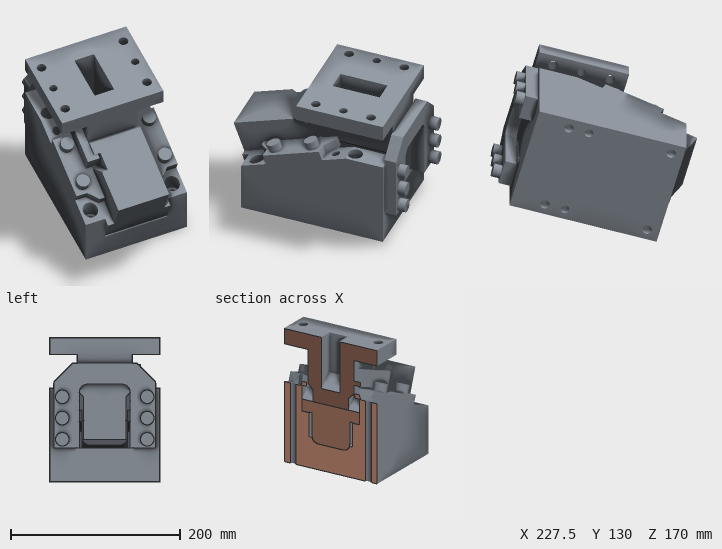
import cadquery as cq
import math

SLIDE_TILT = 20.0
CAM_ANGLE = 40.0
REACH = 682.5

BASE_LENGTH = 180.0
BASE_WIDTH = 130.0
BASE_HEIGHT = 110.0
CREASE_X = 46.9
POCKET_FLOOR_Z = 40.0
POCKET_END = 66.0
CHANNEL_WIDTH = 67.0

GIB_START = 20.2
GIB_LENGTH = 100.0
GIB_HEIGHT = 12.0
GIB_CHAMFER_LENGTH = 12.0
GIB_CHAMFER_WIDTH = 11.4
GIB_SCREW_SPACING = 50.0
SCREW_DIAMETER = 16.0
SCREW_HEAD = 10.0

HOLE_Y = 52.5
BORE_DIAMETER = 18.0
BOLT_HOLE_DIAMETER = 11.0
BORE_FLOOR_Z = 50.0
REAR_BOLT_X = 39.8
FRONT_BOLT_X = 165.0
DOWEL_X = 64.4
DOWEL_DIAMETER = 10.0

PLATE_THICKNESS = 15.0
PLATE_WIDTH = 120.0
PLATE_TOP_Z = 140.0
PLATE_CHAMFER = 22.0
OPENING_WIDTH = 60.0
OPENING_TOP_Z = 115.0
OPENING_RADIUS = 10.0
PLATE_RECESS = 1.0
PLATE_SCREW_Y = 50.0
PLATE_SCREW_ZS = (50.0, 75.0, 100.0)

SLIDE_END_X = 202.5
SLIDE_WIDTH = 65.0
SLIDE_HEIGHT = 40.0
FLANGE_WIDTH = 80.0
FLANGE_HEIGHT = 30.0
FLANGE_REAR_X = 66.5
RAIL_WIDTH = 54.0
RAIL_DEPTH = 34.8
RAIL_RADIUS = 10.0
RAIL_REAR = 17.3
RAIL_LENGTH = 91.0
CAM_TOP_X = 117.2
GROOVE_OFFSET = 13.2
GROOVE_WIDTH = 20.0
GROOVE_DEPTH = 7.5

DRIVER_LENGTH = 110.0
DRIVER_TOP_Z = 170.0
HEAD_THICKNESS = 20.0
STEM_WIDTH = 65.0
TONGUE_WIDTH = 50.0
TONGUE_TOP_Z = 100.0
TONGUE_BOTTOM_Z = 50.0
HEAD_HOLE_XS = (20.0, 90.0)
HEAD_HOLE_DIAMETER = 11.5
HEAD_DOWEL_X = 55.0
WINDOW_START_X = 25.0
WINDOW_LENGTH = 60.0
WINDOW_WIDTH = 25.0
WINDOW_FLAT_LENGTH = 37.0
WINDOW_FLOOR_Z = 100.0
KEY_START = 14.8
KEY_LENGTH = 65.0
KEY_HEIGHT = 20.0
KEY_LIFT = 15.0
KEY_OUTER_Y = 42.0
KEY_INNER_Y = 27.0

SIN_TILT = math.sin(math.radians(SLIDE_TILT))
COS_TILT = math.cos(math.radians(SLIDE_TILT))
TAN_TILT = math.tan(math.radians(SLIDE_TILT))
SIN_CAM = math.sin(math.radians(CAM_ANGLE))
COS_CAM = math.cos(math.radians(CAM_ANGLE))
TAN_CAM = math.tan(math.radians(CAM_ANGLE))

SLIDE_END = (SLIDE_END_X - CREASE_X - SLIDE_HEIGHT * SIN_TILT) / COS_TILT
SLIDE_TOP_Z_AT_CREASE = BASE_HEIGHT + SLIDE_HEIGHT / COS_TILT
CAM_TOP_Z = SLIDE_TOP_Z_AT_CREASE - (CAM_TOP_X - CREASE_X) * TAN_TILT
RAIL_END = RAIL_REAR + RAIL_LENGTH

SLOPE_SIDE = cq.Plane(origin=(CREASE_X, 0, BASE_HEIGHT), xDir=(COS_TILT, 0, -SIN_TILT), normal=(0, -1, 0))
SLOPE_TOP = cq.Plane(origin=(CREASE_X, 0, BASE_HEIGHT), xDir=(COS_TILT, 0, -SIN_TILT),
                     normal=(SIN_TILT, 0, COS_TILT))
CAM_SIDE = cq.Plane(origin=(CAM_TOP_X, 0, CAM_TOP_Z), xDir=(COS_CAM, 0, SIN_CAM), normal=(0, -1, 0))


def side_block(plane, start, end, bottom, top, width):
    """Block drawn as a rectangle on a side plane and centred on Y = 0."""
    corners = [(start, bottom), (end, bottom), (end, top), (start, top)]
    return cq.Workplane(plane).polyline(corners).close().extrude(width / 2, both=True)


def box_between(x_range, y_range, z_range):
    """Upright box between the given limits."""
    lengths = [high - low for low, high in (x_range, y_range, z_range)]
    corner = (x_range[0], y_range[0], z_range[0])
    return cq.Workplane("XY").box(*lengths, centered=False).translate(corner)


def rail():
    """Guide rail below the flanges, rounded along its two lower edges."""
    bar = side_block(SLOPE_SIDE, RAIL_REAR, RAIL_END, -FLANGE_HEIGHT - RAIL_DEPTH, -FLANGE_HEIGHT, RAIL_WIDTH)
    lower_face = cq.selectors.DirectionMinMaxSelector(SLOPE_SIDE.yDir, directionMax=False)
    along_rail = cq.selectors.ParallelDirSelector(SLOPE_SIDE.xDir)
    return bar.faces(lower_face).edges(along_rail).fillet(RAIL_RADIUS)


def base_block():
    """Block with a sloping top, the driver pocket and the stepped slide way."""
    block = box_between((0, BASE_LENGTH), (-BASE_WIDTH / 2, BASE_WIDTH / 2), (0, BASE_HEIGHT))
    block = block.cut(side_block(SLOPE_SIDE, 0, REACH, 0, REACH, BASE_WIDTH))
    flange_way = side_block(SLOPE_SIDE, -REACH, REACH, -FLANGE_HEIGHT, 0, FLANGE_WIDTH)
    pocket = side_block(SLOPE_SIDE, -REACH, POCKET_END, -REACH, 0, OPENING_WIDTH)
    pocket = pocket.intersect(side_block("XZ", 0, REACH, POCKET_FLOOR_Z, REACH, OPENING_WIDTH))
    return block.cut(flange_way).cut(pocket).cut(rail())


def gib():
    """Clamp strip on the +Y side with its two screw heads."""
    inner = CHANNEL_WIDTH / 2
    step = FLANGE_WIDTH / 2
    shoulder = step + GIB_CHAMFER_WIDTH
    outer = BASE_WIDTH / 2
    end = GIB_START + GIB_LENGTH
    strip = (cq.Workplane(SLOPE_TOP)
             .moveTo(GIB_START, inner).lineTo(end, inner).lineTo(end, step)
             .lineTo(end - GIB_CHAMFER_LENGTH, shoulder).lineTo(end - GIB_CHAMFER_LENGTH, outer)
             .lineTo(GIB_START + GIB_CHAMFER_LENGTH, outer).lineTo(GIB_START + GIB_CHAMFER_LENGTH, shoulder)
             .lineTo(GIB_START, step).close().extrude(GIB_HEIGHT))
    middle = GIB_START + GIB_LENGTH / 2
    screws = (cq.Workplane(SLOPE_TOP)
              .pushPoints([(middle + side * GIB_SCREW_SPACING / 2, HOLE_Y) for side in (-1, 1)])
              .circle(SCREW_DIAMETER / 2).extrude(GIB_HEIGHT + SCREW_HEAD))
    return strip.union(screws)


def cover_plate():
    """Chamfered plate with an arched opening, a driver recess and six screw heads."""
    half = PLATE_WIDTH / 2
    face = cq.Workplane("YZ").workplane(offset=-PLATE_THICKNESS)
    plate = (face.moveTo(-half, POCKET_FLOOR_Z).lineTo(half, POCKET_FLOOR_Z)
             .lineTo(half, PLATE_TOP_Z - PLATE_CHAMFER).lineTo(half - PLATE_CHAMFER, PLATE_TOP_Z)
             .lineTo(PLATE_CHAMFER - half, PLATE_TOP_Z).lineTo(-half, PLATE_TOP_Z - PLATE_CHAMFER)
             .close().extrude(PLATE_THICKNESS))
    opening = box_between((-PLATE_THICKNESS, 0), (-OPENING_WIDTH / 2, OPENING_WIDTH / 2),
                          (POCKET_FLOOR_Z, OPENING_TOP_Z)).edges("|X and >Z").fillet(OPENING_RADIUS)
    recess = box_between((-PLATE_RECESS, 0), (-CHANNEL_WIDTH / 2, CHANNEL_WIDTH / 2),
                         (POCKET_FLOOR_Z, PLATE_TOP_Z))
    screw_places = [(y, z) for y in (-PLATE_SCREW_Y, PLATE_SCREW_Y) for z in PLATE_SCREW_ZS]
    screws = face.pushPoints(screw_places).circle(SCREW_DIAMETER / 2).extrude(-SCREW_HEAD)
    return plate.cut(opening).cut(recess).union(screws)


def vertical_holes(x, diameter, bottom_z):
    """Pair of upright cutters at -Y and +Y."""
    return (cq.Workplane("XY", origin=(0, 0, bottom_z))
            .pushPoints([(x, -HOLE_Y), (x, HOLE_Y)]).circle(diameter / 2).extrude(REACH))


def make_base():
    base = base_block().union(gib()).union(gib().mirror("XZ")).union(cover_plate())
    for x in (REAR_BOLT_X, FRONT_BOLT_X):
        base = base.cut(vertical_holes(x, BORE_DIAMETER, BORE_FLOOR_Z))
        base = base.cut(vertical_holes(x, BOLT_HOLE_DIAMETER, 0))
    return base.cut(vertical_holes(DOWEL_X, DOWEL_DIAMETER, 0))


def make_slide():
    """Tilted T-shaped slide with a cam face and a key groove on its -Y side."""
    upper = side_block(SLOPE_SIDE, 0, SLIDE_END, 0, SLIDE_HEIGHT, SLIDE_WIDTH)
    flanges = side_block(SLOPE_SIDE, 0, SLIDE_END, -FLANGE_HEIGHT, 0, FLANGE_WIDTH)
    wide = upper.union(flanges).cut(side_block("XZ", 0, FLANGE_REAR_X, 0, REACH, FLANGE_WIDTH))
    core = side_block(SLOPE_SIDE, RAIL_REAR, SLIDE_END, -FLANGE_HEIGHT, SLIDE_HEIGHT, RAIL_WIDTH)
    slide = wide.union(core).union(rail())
    slide = slide.cut(side_block(CAM_SIDE, -REACH, REACH, 0, REACH, FLANGE_WIDTH))
    return slide.cut(key_groove())


def key_groove():
    """Space of the groove, parallel to the cam face, that the driver key runs in."""
    groove = side_block(CAM_SIDE, -REACH, REACH, -GROOVE_OFFSET - GROOVE_WIDTH, -GROOVE_OFFSET, REACH)
    depth_range = (-SLIDE_WIDTH / 2, GROOVE_DEPTH - SLIDE_WIDTH / 2)
    side = box_between((0, REACH), depth_range, (0, REACH))
    above_flange = side_block(SLOPE_SIDE, -REACH, REACH, 0, SLIDE_HEIGHT, REACH)
    return groove.intersect(side).intersect(above_flange)


def driver_body():
    """T-shaped head and stem that narrow to a tongue, cut off along the cam face."""
    head_bottom = DRIVER_TOP_Z - HEAD_THICKNESS
    undercut_top = TONGUE_TOP_Z + (STEM_WIDTH - TONGUE_WIDTH) / 2
    outline = [(BASE_WIDTH / 2, DRIVER_TOP_Z), (BASE_WIDTH / 2, head_bottom),
               (STEM_WIDTH / 2, head_bottom), (STEM_WIDTH / 2, undercut_top),
               (TONGUE_WIDTH / 2, TONGUE_TOP_Z), (TONGUE_WIDTH / 2, TONGUE_BOTTOM_Z)]
    mirrored = [(-y, z) for y, z in reversed(outline)]
    body = cq.Workplane("YZ").polyline(outline + mirrored).close().extrude(DRIVER_LENGTH)
    return body.cut(side_block(CAM_SIDE, -REACH, REACH, -REACH, 0, BASE_WIDTH))


def window():
    """Blind window with a flat floor that turns up parallel to the cam face."""
    flat_end = WINDOW_START_X + WINDOW_FLAT_LENGTH
    end = WINDOW_START_X + WINDOW_LENGTH
    ramp_top = WINDOW_FLOOR_Z + (end - flat_end) * TAN_CAM
    return (cq.Workplane("XZ")
            .polyline([(WINDOW_START_X, WINDOW_FLOOR_Z), (flat_end, WINDOW_FLOOR_Z), (end, ramp_top),
                       (end, DRIVER_TOP_Z), (WINDOW_START_X, DRIVER_TOP_Z)])
            .close().extrude(WINDOW_WIDTH / 2, both=True))


def key():
    """Side bar on the -Y side with a tenon that reaches into the slide groove."""
    bar = side_block(SLOPE_SIDE, KEY_START, KEY_START + KEY_LENGTH, KEY_LIFT, KEY_LIFT + KEY_HEIGHT, REACH)
    outside = box_between((0, REACH), (-KEY_OUTER_Y, -SLIDE_WIDTH / 2), (0, REACH))
    inside = box_between((0, REACH), (-SLIDE_WIDTH / 2, -KEY_INNER_Y), (0, REACH))
    tenon = bar.intersect(inside).intersect(key_groove())
    return bar.intersect(outside).union(tenon)


def make_driver():
    driver = driver_body().cut(window())
    for x in HEAD_HOLE_XS:
        driver = driver.cut(vertical_holes(x, HEAD_HOLE_DIAMETER, DRIVER_TOP_Z - HEAD_THICKNESS))
    driver = driver.cut(vertical_holes(HEAD_DOWEL_X, DOWEL_DIAMETER, DRIVER_TOP_Z - HEAD_THICKNESS))
    return driver.union(key())


base = make_base()
slide = make_slide()
driver = make_driver()

result = cq.Compound.makeCompound([base.solids().val(), slide.solids().val(), driver.solids().val()])